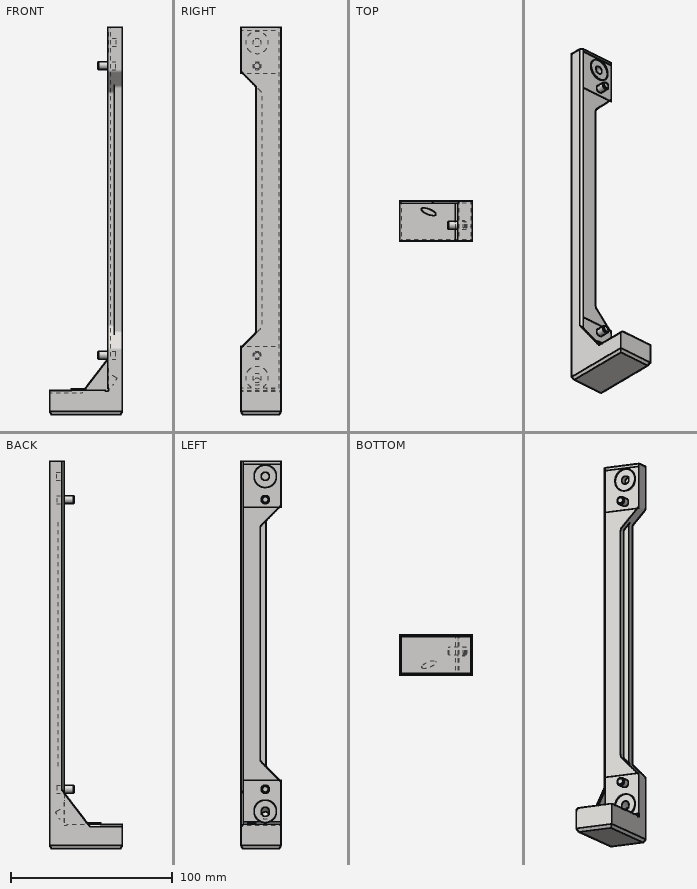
import cadquery as cq

length_x = 45.0
width_y = 25.0
height_z = 239.5

foot_height = 15.0
arm_thickness = 9.0
arm_face_x = length_x - arm_thickness
arm_root_z = foot_height / 2
foot_taper_height = 2.2
foot_taper_inset = 1.2
relief_diameter = 2.5
relief_offset = 0.6

cutout_bottom_z = 41.5
cutout_top_z = 212.3
deep_cut_depth = 13.0
shallow_cut_depth = 9.3
back_ledge_thickness = 5.0
cutout_radius = 2.9

gusset_thickness = 1.5
gusset_top_z = 34.5
gusset_reach = 14.9
rear_bevel = gusset_thickness

pad_height = 0.12
upper_pad_z = (211.0, 237.7)
lower_pad_z = (16.8, 42.5)

fastener_y = 9.8
lower_pin_z = 37.0
upper_pin_z = 215.9
pin_diameter = 5.0
pin_protrusion = 6.2
pin_embedment = 4.8
pin_chamfer = 0.7
lower_hole_z = 23.2
upper_hole_z = 230.3
hole_diameter = 5.0
hole_depth = 5.0
lower_hole_tilt = 30.0
upper_hole_tilt = 0.0
spotface_diameter = 14.0
spotface_depth = 0.5

boss_x = 18.0
boss_y = 18.2
boss_half_length = 4.8
boss_half_width = 1.7
boss_angle = -22.0
boss_height = 1.2


def box(x_range, y_range, z_range):
    """Axis-aligned block between the given limits."""
    size = [high - low for low, high in (x_range, y_range, z_range)]
    corner = (x_range[0], y_range[0], z_range[0])
    return cq.Workplane("XY").box(*size, centered=False).translate(corner)


def x_cylinder(diameter, start_x, length, z):
    """Cylinder along +X on the fastener line."""
    circle = cq.Workplane("YZ", origin=(start_x, fastener_y, z)).circle(diameter / 2)
    return circle.extrude(length)


def foot():
    block = box((0, length_x), (0, width_y), (0, foot_height))
    return block.faces("<Z").chamfer(foot_taper_height, foot_taper_inset).cut(foot_bevel())


def foot_bevel():
    """45 degree bevel along the rear top edge of the foot."""
    triangle = (
        cq.Workplane("YZ")
        .polyline([
            (width_y, foot_height),
            (width_y - rear_bevel, foot_height),
            (width_y, foot_height - rear_bevel),
        ])
        .close()
    )
    return triangle.extrude(arm_face_x + rear_bevel)


def arm_outline(cut_depth, start_x, thickness):
    """Slab of the arm whose front edge is set back by cut_depth in the middle."""
    points = [
        (0, arm_root_z),
        (0, cutout_bottom_z),
        (cut_depth, cutout_bottom_z + cut_depth),
        (cut_depth, cutout_top_z - cut_depth),
        (0, cutout_top_z),
        (0, height_z),
        (width_y, height_z),
        (width_y, arm_root_z),
    ]
    slab = cq.Workplane("YZ", origin=(start_x, 0, 0)).polyline(points).close().extrude(thickness)
    cutout_corners = cq.selectors.BoxSelector(
        (0, -cutout_radius, cutout_bottom_z - cutout_radius),
        (length_x, cut_depth + cutout_radius, cutout_top_z + cutout_radius),
    )
    return slab.edges("|X").edges(cutout_corners).fillet(cutout_radius)


def arm():
    front_thickness = arm_thickness - back_ledge_thickness
    front_slab = arm_outline(deep_cut_depth, arm_face_x, front_thickness)
    back_slab = arm_outline(shallow_cut_depth, length_x - back_ledge_thickness, back_ledge_thickness)
    bevel = (
        cq.Workplane("XY", origin=(0, 0, foot_height))
        .polyline([
            (arm_face_x, width_y),
            (arm_face_x, width_y - rear_bevel),
            (arm_face_x + rear_bevel, width_y),
        ])
        .close()
        .extrude(height_z - foot_height)
    )
    return front_slab.union(back_slab).cut(bevel)


def gusset():
    """Triangular web along the rear edge, running on behind the arm bevel."""
    slope = (gusset_top_z - foot_height) / gusset_reach
    tip_x = arm_face_x + rear_bevel
    points = [
        (arm_face_x - gusset_reach - rear_bevel / slope, foot_height - rear_bevel),
        (tip_x, foot_height - rear_bevel),
        (tip_x, gusset_top_z + slope * rear_bevel),
    ]
    plane = cq.Workplane("XZ", origin=(0, width_y, 0))
    return plane.polyline(points).close().extrude(gusset_thickness)


def corner_relief():
    """Round groove along the inner corner between foot and arm."""
    center = (arm_face_x - relief_offset, 0, foot_height + relief_offset)
    circle = cq.Workplane("XZ", origin=center).circle(relief_diameter / 2)
    return circle.extrude(-(width_y - gusset_thickness))


def contact_pad(z_range):
    return box((arm_face_x - pad_height, arm_face_x), (0, width_y - rear_bevel), z_range)


def boss():
    plane = cq.Workplane("XY", origin=(boss_x, boss_y, foot_height))
    ellipse = plane.ellipse(boss_half_length, boss_half_width, rotation_angle=boss_angle)
    return ellipse.extrude(boss_height)


def screw_hole(z, tilt):
    """Blind hole in the arm face, its inner end lowered by the tilt angle."""
    overshoot = hole_diameter
    hole = x_cylinder(hole_diameter, arm_face_x - overshoot, overshoot + hole_depth, z)
    pivot = (arm_face_x, fastener_y, z)
    return hole.rotate(pivot, (arm_face_x, fastener_y + 2.5, z), tilt)


def make_bracket():
    bracket = foot().union(arm()).cut(corner_relief()).union(gusset()).union(boss())
    for z_range in (lower_pad_z, upper_pad_z):
        bracket = bracket.union(contact_pad(z_range))
    for hole_z, tilt in ((lower_hole_z, lower_hole_tilt), (upper_hole_z, upper_hole_tilt)):
        spotface_length = pad_height + spotface_depth
        spotface = x_cylinder(spotface_diameter, arm_face_x - pad_height, spotface_length, hole_z)
        bracket = bracket.cut(spotface).cut(screw_hole(hole_z, tilt))
    for pin_z in (lower_pin_z, upper_pin_z):
        socket = x_cylinder(pin_diameter, arm_face_x - pad_height, pad_height + pin_embedment, pin_z)
        bracket = bracket.cut(socket)
    return bracket


def make_pin(z):
    pin = x_cylinder(pin_diameter, arm_face_x - pin_protrusion, pin_protrusion + pin_embedment, z)
    return pin.faces("<X").chamfer(pin_chamfer)


bracket = make_bracket()
pins = [make_pin(z) for z in (lower_pin_z, upper_pin_z)]
result = cq.Compound.makeCompound([bracket.val(), *[pin.val() for pin in pins]])